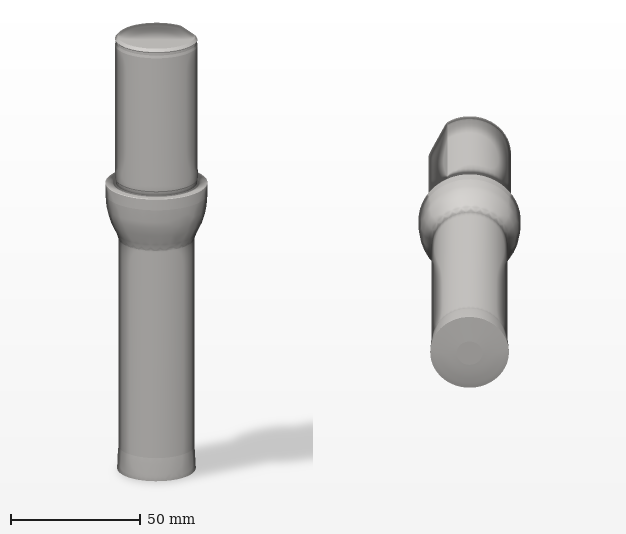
import cadquery as cq
import math

total_length = 178.0
shank_length = 60.0
flange_top = total_length - shank_length
flange_rim_height = 4.6
rim_chamfer = 0.2
flange_rim_bottom = flange_top - flange_rim_height
neck_start = 95.0
head_height = 10.0
head_rim_bottom = 1.1
tip_rise = 0.7

shank_radius = 31.99 / 2
relief_radius = 31.5 / 2
flange_radius = 39.5 / 2
body_radius = 29.3 / 2
head_radius = 30.4 / 2
tip_radius = 5.0

end_chamfer = 1.0
groove_top = total_length - 1.2
groove_side_height = 0.3
groove_floor_height = 1.0
groove_ramp_height = 1.1
groove_floor_top = groove_top - groove_side_height
groove_floor_bottom = groove_floor_top - groove_floor_height
groove_bottom = groove_floor_bottom - groove_ramp_height

undercut_top = flange_top + 1.9
undercut_side_height = 0.5
undercut_depth = 0.3
undercut_floor_radius = 16.3
undercut_rim_radius = 16.9

blend_radius = 4.0

flat_offset = 13.7
flat_runout_radius = shank_radius - flat_offset
flat_bottom = flange_top + 3.6


def flare_points():
    """Points down the bell from below the rim to the body, as (radius, height)."""
    radial_drop = flange_radius - body_radius
    height = flange_rim_bottom - neck_start
    radius_sum = (height**2 + radial_drop**2) / (2 * radial_drop)
    flare_radius = radius_sum - blend_radius
    angle = math.asin(height / radius_sum)

    def on_flare(turn):
        return (
            flange_radius - flare_radius * (1 - math.cos(turn)),
            flange_rim_bottom - flare_radius * math.sin(turn),
        )

    def on_blend(turn):
        return (
            body_radius + blend_radius * (1 - math.cos(turn)),
            neck_start + blend_radius * math.sin(turn),
        )

    return [
        on_flare(angle / 3),
        on_flare(2 * angle / 3),
        on_flare(angle),
        on_blend(angle / 2),
        on_blend(0),
    ]


def make_holder():
    """Shank, flange and drill body turned in one piece, with the clamping flat cut away."""
    straight_down = (0, -1)
    turned = (
        cq.Workplane("XZ")
        .moveTo(0, total_length)
        .lineTo(shank_radius - end_chamfer, total_length)
        .lineTo(shank_radius, total_length - end_chamfer)
        .lineTo(shank_radius, groove_top)
        .lineTo(relief_radius, groove_floor_top)
        .lineTo(relief_radius, groove_floor_bottom)
        .lineTo(shank_radius, groove_bottom)
        .lineTo(shank_radius, undercut_top)
        .lineTo(relief_radius, undercut_top - undercut_side_height)
        .lineTo(relief_radius, flange_top)
        .lineTo(undercut_floor_radius, flange_top - undercut_depth)
        .lineTo(undercut_rim_radius, flange_top)
        .lineTo(flange_radius - rim_chamfer, flange_top)
        .lineTo(flange_radius, flange_top - rim_chamfer)
        .lineTo(flange_radius, flange_rim_bottom)
        .spline(flare_points(), tangents=[straight_down, straight_down], includeCurrent=True)
        .lineTo(body_radius, head_height)
        .lineTo(0, head_height)
        .close()
        .revolve(360, (0, 0, 0), (0, 1, 0))
    )
    return turned.cut(make_flat_cutter())


def make_flat_cutter():
    """Block beyond the clamping flat, its lower inner edge rounded to form the run-out."""
    block = cq.Workplane("XY").box(
        2 * flange_radius, flange_radius, shank_length, centered=(True, False, False)
    )
    return block.edges("<Y and <Z").fillet(flat_runout_radius).translate(
        (0, flat_offset, flat_bottom)
    )


def make_head():
    """Cutting head that widens from the body to its rim and ends in a shallow blunt cone."""
    return (
        cq.Workplane("XZ")
        .moveTo(0, 0)
        .lineTo(tip_radius, 0)
        .lineTo(head_radius, tip_rise)
        .lineTo(head_radius, head_rim_bottom)
        .tangentArcPoint((body_radius, head_height), relative=False)
        .lineTo(0, head_height)
        .close()
        .revolve(360, (0, 0, 0), (0, 1, 0))
    )


holder = make_holder()
head = make_head()

result = cq.Compound.makeCompound([holder.val(), head.val()])